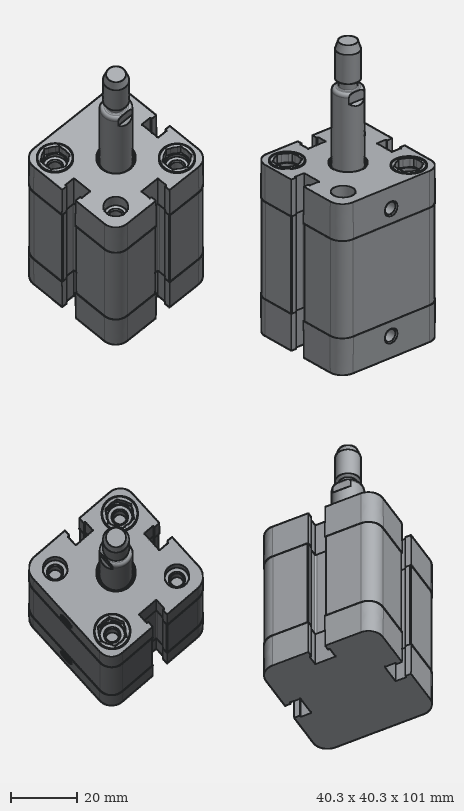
import cadquery as cq
import math

TOTAL_HEIGHT = 101.0
HOUSING_HEIGHT = 59.0
CAP_HEIGHT = 12.7
BARREL_TOP = HOUSING_HEIGHT - CAP_HEIGHT

CAP_JOINT_WIDTH = 40.3
CAP_OUTER_WIDTH = 40.1
BARREL_WIDTH = 40.0
CORNER_TANGENT = 15.2

SLOT_FLOOR = 14.4
SLOT_SHOULDER = 18.1
SLOT_WIDTH = 7.0
SLOT_NECK_WIDTH = 5.8
BARREL_LIP_CHAMFER = 0.3
BARREL_SLOT_FILLET = 0.5
SLOT_OVERCUT = 1.0
SLOT_DIRECTIONS = (0, 90, 270)

THREAD_DIAMETER = 4.1
COUNTERSINK_DIAMETER = 5.0
LEAD_IN = 0.5
PORT_DEPTH = 6.1
PORT_INSET = 7.6

CORNER_OFFSET = 13.0
CORNER_RECESS_DIAMETER = 7.5
CORNER_RECESS_DEPTH = 4.3
CORNER_THREAD_DEPTH = 5.0
PLAIN_CORNERS = ((-CORNER_OFFSET, CORNER_OFFSET), (CORNER_OFFSET, -CORNER_OFFSET))
SCREW_CORNERS = ((CORNER_OFFSET, CORNER_OFFSET), (-CORNER_OFFSET, -CORNER_OFFSET))
HEX_ACROSS_FLATS = 8.0
HEX_PILOT_DIAMETER = 8.3
HEX_DEPTH = 3.0
HEAD_GROOVE_OUTER = 11.1
HEAD_GROOVE_FLOOR = 10.9
HEAD_GROOVE_INNER = 10.5
HEAD_GROOVE_DEPTH = 0.3

ROD_DIAMETER = 10.0
BORE_MOUTH_DIAMETER = 12.0
BORE_STEP_DIAMETER = 11.4
BORE_STEP_DEPTH = 0.8
SEAL_LIP_DIAMETER = 10.9
BORE_GAP_DIAMETER = 10.5
BORE_GAP_DEPTH = 2.0
SHOULDER_FACE_DIAMETER = 7.5
SHOULDER_HEIGHT = 85.2
NECK_DIAMETER = 5.8
NECK_FILLET = 0.3
TIP_DIAMETER = 8.0
TIP_END_DIAMETER = 6.1
TIP_TAPER_LENGTH = 2.8
TIP_BOTTOM = 88.1
FLATS_WIDTH = 8.0
FLATS_LENGTH = 3.5


def rounded_square(width):
    """Square outline whose corner arcs start at CORNER_TANGENT on each side."""
    corner_radius = width / 2 - CORNER_TANGENT
    return cq.Sketch().rect(width, width).vertices().fillet(corner_radius)


def slot_outline(lip_chamfer, half_body):
    """Outline of a slot opening towards +X, with optional chamfers on the lips."""
    half_neck = SLOT_NECK_WIDTH / 2
    half_slot = SLOT_WIDTH / 2
    outside = half_body + SLOT_OVERCUT
    upper = [
        (SLOT_FLOOR, half_slot),
        (SLOT_SHOULDER, half_slot),
        (SLOT_SHOULDER, half_neck),
    ]
    if lip_chamfer > 0:
        upper.append((half_body - lip_chamfer, half_neck))
        upper.append((half_body, half_neck + lip_chamfer))
        upper.append((outside, half_neck + lip_chamfer))
    else:
        upper.append((outside, half_neck))
    lower = [(x, -y) for x, y in reversed(upper)]
    return upper + lower


def cut_slots(body, width, height, lip_chamfer=0.0, floor_fillet=0.0):
    """Cut the three T slots through a body standing on Z = 0."""
    slot = cq.Workplane("XY").polyline(slot_outline(lip_chamfer, width / 2)).close().extrude(height)
    if floor_fillet > 0:
        slot = slot.faces("<X").edges("|Z").fillet(floor_fillet)
    for angle in SLOT_DIRECTIONS:
        body = body.cut(slot.rotate((0, 0, 0), (0, 0, 1), angle))
    return body


def thread_cutter(depth):
    """Countersunk blind hole going down from the origin, with a lead-in above it."""
    radius = THREAD_DIAMETER / 2
    mouth = COUNTERSINK_DIAMETER / 2
    outline = [
        (0, LEAD_IN),
        (mouth, LEAD_IN),
        (mouth, 0),
        (radius, radius - mouth),
        (radius, -depth),
        (0, -depth),
    ]
    return cq.Workplane("XZ").polyline(outline).close().revolve(360, (0, 0, 0), (0, 1, 0))


def make_plain_cap():
    """Cap standing on its joint face: drafted block with slots and a side port on -X."""
    draft = math.degrees(math.atan((CAP_JOINT_WIDTH - CAP_OUTER_WIDTH) / 2 / CAP_HEIGHT))
    cap = cq.Workplane("XY").placeSketch(rounded_square(CAP_JOINT_WIDTH)).extrude(CAP_HEIGHT, taper=draft)
    cap = cut_slots(cap, CAP_JOINT_WIDTH, CAP_HEIGHT)
    port_height = CAP_HEIGHT - PORT_INSET
    face_inset = (CAP_JOINT_WIDTH - CAP_OUTER_WIDTH) / 2 * port_height / CAP_HEIGHT
    port_x = face_inset - CAP_JOINT_WIDTH / 2
    port = thread_cutter(PORT_DEPTH).rotate((0, 0, 0), (0, 1, 0), -90)
    return cap.cut(port.translate((port_x, 0, port_height)))


def corner_cutter():
    """Round recess with a threaded hole in its floor, going down from the origin."""
    recess = cq.Workplane("XY").circle(CORNER_RECESS_DIAMETER / 2).extrude(-CORNER_RECESS_DEPTH)
    return recess.union(thread_cutter(CORNER_THREAD_DEPTH).translate((0, 0, -CORNER_RECESS_DEPTH)))


def screw_head_cutter():
    """Corner recess with a hexagon socket mouth and a bevelled groove around it."""
    hex_across_corners = HEX_ACROSS_FLATS / math.cos(math.pi / 6)
    socket = cq.Workplane("XY").polygon(6, hex_across_corners).extrude(-HEX_DEPTH)
    groove_outline = [
        (HEAD_GROOVE_INNER / 2, 0),
        (HEAD_GROOVE_OUTER / 2, 0),
        (HEAD_GROOVE_OUTER / 2, -HEAD_GROOVE_DEPTH),
        (HEAD_GROOVE_FLOOR / 2, -HEAD_GROOVE_DEPTH),
    ]
    groove = cq.Workplane("XZ").polyline(groove_outline).close().revolve(360, (0, 0, 0), (0, 1, 0))
    pilot = cq.Workplane("XY").circle(HEX_PILOT_DIAMETER / 2).extrude(-HEX_DEPTH)
    return corner_cutter().union(socket).union(pilot).union(groove)


def bore_cutter():
    """Rod bore through the front cap: chamfered mouth, seal step, clearance gap, then a fit on the rod."""
    mouth_chamfer = (BORE_MOUTH_DIAMETER - BORE_STEP_DIAMETER) / 2
    lip_chamfer = (SEAL_LIP_DIAMETER - BORE_GAP_DIAMETER) / 2
    outline = [
        (0, 0),
        (BORE_MOUTH_DIAMETER / 2, 0),
        (BORE_STEP_DIAMETER / 2, -mouth_chamfer),
        (BORE_STEP_DIAMETER / 2, -BORE_STEP_DEPTH),
        (SEAL_LIP_DIAMETER / 2, -BORE_STEP_DEPTH),
        (BORE_GAP_DIAMETER / 2, -BORE_STEP_DEPTH - lip_chamfer),
        (BORE_GAP_DIAMETER / 2, -BORE_GAP_DEPTH),
        (ROD_DIAMETER / 2, -BORE_GAP_DEPTH),
        (ROD_DIAMETER / 2, -CAP_HEIGHT),
        (0, -CAP_HEIGHT),
    ]
    return cq.Workplane("XZ").polyline(outline).close().revolve(360, (0, 0, 0), (0, 1, 0))


def make_front_cap():
    """Upper cap, with the rod bore and the four corner recesses."""
    cap = make_plain_cap().translate((0, 0, BARREL_TOP))
    cap = cap.cut(bore_cutter().translate((0, 0, HOUSING_HEIGHT)))
    for x, y in PLAIN_CORNERS:
        cap = cap.cut(corner_cutter().translate((x, y, HOUSING_HEIGHT)))
    for x, y in SCREW_CORNERS:
        cap = cap.cut(screw_head_cutter().translate((x, y, HOUSING_HEIGHT)))
    return cap


def make_rear_cap():
    """Lower cap: the plain cap turned upside down."""
    return make_plain_cap().mirror("XY").translate((0, 0, CAP_HEIGHT))


def make_barrel():
    """Middle section between the caps."""
    height = BARREL_TOP - CAP_HEIGHT
    barrel = cq.Workplane("XY").placeSketch(rounded_square(BARREL_WIDTH)).extrude(height)
    barrel = cut_slots(barrel, BARREL_WIDTH, height, BARREL_LIP_CHAMFER, BARREL_SLOT_FILLET)
    return barrel.translate((0, 0, CAP_HEIGHT))


def make_rod():
    """Turned rod with a rounded shoulder, a necked tip and two wrench flats."""
    radius = ROD_DIAMETER / 2
    neck = NECK_DIAMETER / 2
    tip = TIP_DIAMETER / 2
    shoulder_round = (ROD_DIAMETER - SHOULDER_FACE_DIAMETER) / 2
    rod = (
        cq.Workplane("XZ")
        .moveTo(0, BARREL_TOP)
        .lineTo(radius, BARREL_TOP)
        .lineTo(radius, SHOULDER_HEIGHT - shoulder_round)
        .radiusArc((radius - shoulder_round, SHOULDER_HEIGHT), -shoulder_round)
        .lineTo(neck + NECK_FILLET, SHOULDER_HEIGHT)
        .radiusArc((neck, SHOULDER_HEIGHT + NECK_FILLET), NECK_FILLET)
        .lineTo(neck, TIP_BOTTOM - (tip - neck) / 2)
        .lineTo(tip, TIP_BOTTOM)
        .lineTo(tip, TOTAL_HEIGHT - TIP_TAPER_LENGTH)
        .lineTo(TIP_END_DIAMETER / 2, TOTAL_HEIGHT)
        .lineTo(0, TOTAL_HEIGHT)
        .close()
        .revolve(360, (0, 0, 0), (0, 1, 0))
    )
    flat_x = FLATS_WIDTH / 2
    flat_bottom = SHOULDER_HEIGHT - FLATS_LENGTH
    run_out = radius - flat_x
    flat_outline = [
        (flat_x, SHOULDER_HEIGHT),
        (flat_x, flat_bottom),
        (radius, flat_bottom - run_out),
        (radius, SHOULDER_HEIGHT),
    ]
    flat = cq.Workplane("XZ").polyline(flat_outline).close().extrude(radius, both=True)
    return rod.cut(flat).cut(flat.mirror("YZ"))


rear_cap = make_rear_cap()
barrel = make_barrel()
front_cap = make_front_cap()
rod = make_rod()

result = cq.Compound.makeCompound([rear_cap.val(), barrel.val(), front_cap.val(), rod.val()])